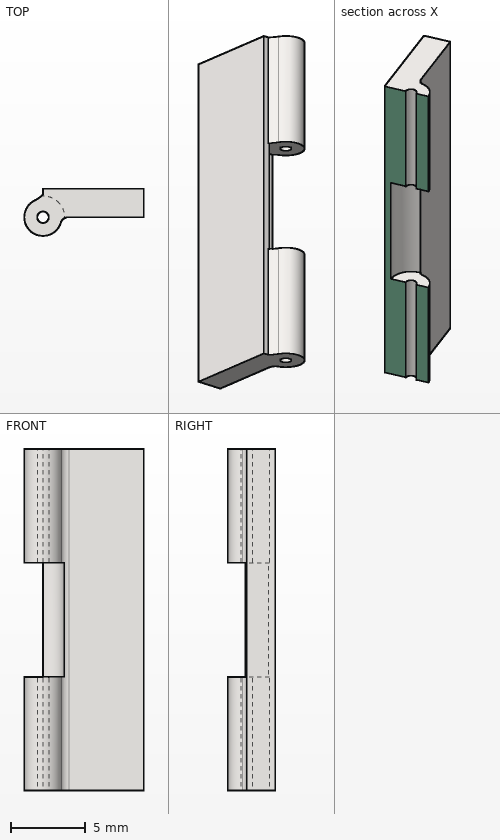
import cadquery as cq
import math

length = 22.85
overall_width = 8.0
overall_depth = 3.18

barrel_radius = 1.25
pin_hole_diameter = 0.75

leaf_width = overall_width - barrel_radius
leaf_thickness = overall_depth - barrel_radius

front_blend_end = 1.71
front_contact_angle = -13
back_blend_end = 1.53
back_contact_angle = 116

gap_length = length / 3
gap_radius = 1.45


def barrel_point(angle):
    """Point on the barrel outline at an angle in degrees from +X."""
    radians = math.radians(angle)
    return (barrel_radius * math.cos(radians), barrel_radius * math.sin(radians))


def hinge_body():
    """Leaf and full-length barrel; the blends are tangent to the leaf front and the barrel back."""
    return (
        cq.Workplane("XY")
        .moveTo(0, leaf_thickness)
        .lineTo(leaf_width, leaf_thickness)
        .lineTo(leaf_width, 0)
        .lineTo(front_blend_end, 0)
        .tangentArcPoint(barrel_point(front_contact_angle), relative=False)
        .threePointArc(barrel_point(180), barrel_point(back_contact_angle))
        .tangentArcPoint((0, back_blend_end), relative=False)
        .close()
        .extrude(length)
    )


def pin_hole():
    return cq.Workplane("XY").circle(pin_hole_diameter / 2).extrude(length)


def knuckle_gap():
    """Round clearance around the pin axis, also clearing everything beyond the leaf end face."""
    gap_plane = cq.Workplane("XY").workplane(offset=(length - gap_length) / 2)
    clearance = gap_plane.circle(gap_radius).extrude(gap_length)
    beyond_leaf = gap_plane.rect(-gap_radius, leaf_thickness, centered=False).extrude(gap_length)
    return clearance.union(beyond_leaf)


result = hinge_body().cut(pin_hole()).cut(knuckle_gap())